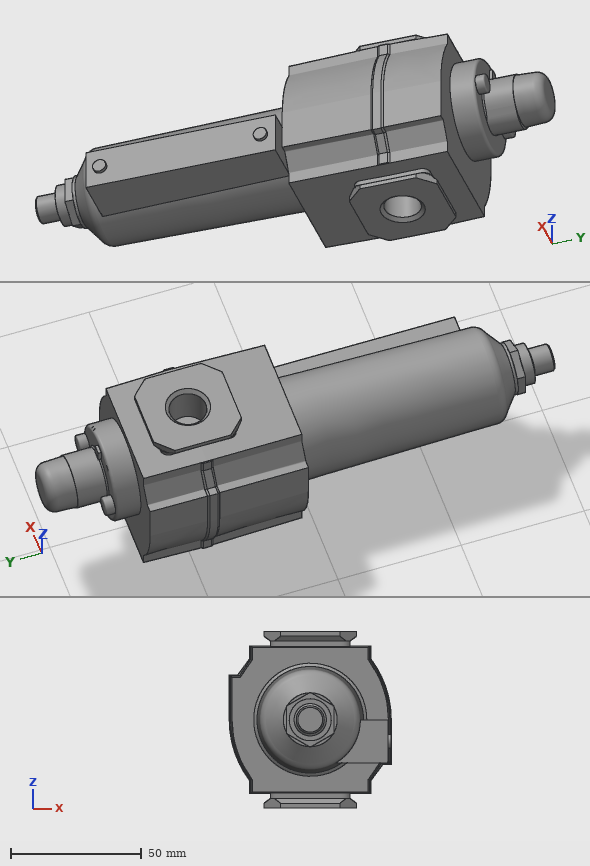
import cadquery as cq
import math


HOUSING_FRONT_LENGTH = 38.7
HOUSING_BACK_LENGTH = 25.7
HOUSING_HALF_HEIGHT = 28.4
HOUSING_HALF_WIDTH = 30.6
SHOULDER_HALF_WIDTH = 22.8
SHOULDER_Z = 23.5
SLOPE_END_X = 27.3
LEDGE_Z = 16.8
HOUSING_DRAFT = 0.9
RIDGE_RISE = 0.52
RIDGE_CROWN_HALF_WIDTH = 1.7
RIDGE_BASE_HALF_WIDTH = 2.5
RIDGE_END_INSET = 0.1

PORT_FACE_Z = 34.0
PORT_RIM_THICKNESS = 1.9
PORT_HALF_SIZE = 17.8
PORT_CORNER = 6.5
NECK_TOP_Z = 30.2
NECK_HALF_SIZE = 15.3
NECK_CORNER_RADIUS = 3.3
NECK_EMBED = 2.0
BORE_RADIUS = 7.2
BORE_CHAMFER = 1.5
BORE_DEPTH = 16.5

BONNET_Z = 6.2
FLANGE_RADIUS = 19.3
FLANGE_THICKNESS = 10.1
FLANGE_FILLET = 1.2
STEM_RADIUS = 10.5
STEM_LENGTH = 12.5
STEM_FLARE = 0.6
CAP_BASE_RADIUS = 10.25
CAP_TOP_RADIUS = 9.7
CAP_LENGTH = 11.4
CAP_FILLET = 4.0
LUG_RADIUS = 7.9
LUG_OFFSET = 4.0
HEAD_RADIUS = 3.7
HEAD_HEIGHT = 3.7
HEAD_FILLET = 0.6
HEAD_OFFSET = 15.3
TAB_WIDTH = 3.7
TAB_LENGTH = 4.3
TAB_HEIGHT = 1.2
TAB_OFFSET = 14.0

BOWL_NECK_RADIUS = 21.7
BOWL_NECK_LENGTH = 1.0
BOWL_TOP_RADIUS = 20.5
BOWL_END_RADIUS = 19.3
BOWL_END_Y = -120.3
BOWL_ROUND_RADIUS = 17.0
BOWL_ROUND_Y = -124.0
BOWL_ROUND_MID_RADIUS = 18.6
BOWL_ROUND_MID_Y = -122.4
BOWL_TIP_RADIUS = 10.4
BOWL_TIP_Y = -129.5

GAUGE_START_Y = -41.6
GAUGE_END_Y = -118.5
GAUGE_OUTER_X = 29.8
GAUGE_INNER_X = 8.3
GAUGE_HEIGHT = 16.5
STUD_RADIUS = 2.7
STUD_TIP_X = HOUSING_HALF_WIDTH + RIDGE_RISE
STUD_END_MARGIN = 5.8

WASHER_THICKNESS = 1.2
HEX_THICKNESS = 3.3
HEX_DIAMETER = 21.1
COLLAR_RADIUS = 8.0
COLLAR_LENGTH = 4.3
PIN_RADIUS = 5.4
PIN_LENGTH = 9.1
PIN_FLARE = 0.8
PIN_CHAMFER = 0.6


def disc(y_start, length, radius, x=0.0, z=0.0):
    """Cylinder along Y that starts at y_start and runs toward +Y."""
    axis_start = cq.Vector(x, y_start, z)
    return cq.Workplane(cq.Solid.makeCylinder(radius, length, axis_start, cq.Vector(0, 1, 0)))


def half_outline(rise, half_height):
    """Corners of the -X half of the housing outline, as (x, z), from the top to the flat side's end."""
    wall_x = SHOULDER_HALF_WIDTH + rise
    side_x = HOUSING_HALF_WIDTH + rise
    ledge_z = LEDGE_Z + rise
    return [
        (-wall_x, half_height),
        (-wall_x, SHOULDER_Z),
        (-SLOPE_END_X - rise, ledge_z),
        (-side_x, ledge_z),
        (-side_x, 0),
    ]


def housing_section(y, rise=0.0, half_height=HOUSING_HALF_HEIGHT):
    """Closed housing outline on the XZ plane at y; it repeats after half a turn about Y."""
    wall_x = SHOULDER_HALF_WIDTH + rise
    side_x = HOUSING_HALF_WIDTH + rise
    inset = side_x - wall_x
    arc_radius = (inset**2 + SHOULDER_Z**2) / (2 * inset)
    half_angle = math.asin(SHOULDER_Z / arc_radius) / 2
    arc_mid_x = side_x - arc_radius * (1 - math.cos(half_angle))
    arc_mid_z = arc_radius * math.sin(half_angle)

    section = cq.Workplane("XZ", origin=(0, y, 0)).moveTo(wall_x, half_height)
    for turn in (1, -1):
        for x, z in half_outline(rise, half_height):
            section = section.lineTo(turn * x, turn * z)
        section = section.threePointArc(
            (-turn * arc_mid_x, -turn * arc_mid_z), (-turn * wall_x, -turn * SHOULDER_Z)
        )
        if turn == 1:
            section = section.lineTo(-wall_x, -half_height)
    return section.close()


def make_ridge():
    """Ridge around the parting plane: a flat crown between two sloped flanks."""
    half_height = HOUSING_HALF_HEIGHT - RIDGE_END_INSET
    crown = housing_section(RIDGE_CROWN_HALF_WIDTH, RIDGE_RISE, half_height)
    ridge = crown.extrude(2 * RIDGE_CROWN_HALF_WIDTH)
    for side in (1, -1):
        crown_wire = housing_section(side * RIDGE_CROWN_HALF_WIDTH, RIDGE_RISE, half_height)
        base_wire = housing_section(side * RIDGE_BASE_HALF_WIDTH, 0.0, half_height)
        wires = [crown_wire.ctx.pendingWires[0], base_wire.ctx.pendingWires[0]]
        ridge = ridge.union(cq.Workplane(cq.Solid.makeLoft(wires, ruled=True)))
    return ridge


def square(half_size, z):
    """Square outline at height z, centred on the port axis."""
    return cq.Workplane("XY", origin=(0, 0, z)).rect(2 * half_size, 2 * half_size)


def make_port():
    """Upper port: a round-cornered neck under a flared rim whose corners are cut straight down."""
    rim_bottom_z = PORT_FACE_Z - PORT_RIM_THICKNESS
    neck_bottom_z = HOUSING_HALF_HEIGHT - NECK_EMBED
    neck = square(NECK_HALF_SIZE, neck_bottom_z).extrude(NECK_TOP_Z - neck_bottom_z)
    neck = neck.edges("|Z").fillet(NECK_CORNER_RADIUS)
    flare = (
        square(NECK_HALF_SIZE, NECK_TOP_Z)
        .workplane(offset=rim_bottom_z - NECK_TOP_Z)
        .rect(2 * PORT_HALF_SIZE, 2 * PORT_HALF_SIZE)
        .loft(ruled=True)
    )
    rim = square(PORT_HALF_SIZE, rim_bottom_z).extrude(PORT_RIM_THICKNESS)
    octagon = square(PORT_HALF_SIZE, NECK_TOP_Z).extrude(PORT_FACE_Z - NECK_TOP_Z)
    octagon = octagon.edges("|Z").chamfer(PORT_CORNER)
    return neck.union(flare.union(rim).intersect(octagon))


def make_port_bore():
    """Blind bore of the upper port, with a chamfered mouth."""
    profile = [
        (0, PORT_FACE_Z),
        (BORE_RADIUS + BORE_CHAMFER, PORT_FACE_Z),
        (BORE_RADIUS, PORT_FACE_Z - BORE_CHAMFER),
        (BORE_RADIUS, PORT_FACE_Z - BORE_DEPTH),
        (0, PORT_FACE_Z - BORE_DEPTH),
    ]
    return cq.Workplane("XZ").polyline(profile).close().revolve(360, (0, 0), (0, 1))


def make_housing():
    """Drafted housing with its parting ridge and two opposite ports."""
    housing = housing_section(0).extrude(HOUSING_FRONT_LENGTH, taper=HOUSING_DRAFT)
    housing = housing.union(housing_section(0).extrude(-HOUSING_BACK_LENGTH, taper=HOUSING_DRAFT))
    housing = housing.union(make_ridge())
    for turn in (0, 180):
        housing = housing.union(make_port().rotate((0, 0, 0), (0, 1, 0), turn))
    for turn in (0, 180):
        housing = housing.cut(make_port_bore().rotate((0, 0, 0), (0, 1, 0), turn))
    return housing


def make_lug(start_y):
    """Rounded lug under the stem, with flat flanks that are tangent to both the stem and the lug."""
    flank_angle = math.asin((STEM_RADIUS - LUG_RADIUS) / LUG_OFFSET)
    across = math.cos(flank_angle)
    down = math.sin(flank_angle)
    stem_x = STEM_RADIUS * across
    stem_z = -STEM_RADIUS * down
    lug_x = LUG_RADIUS * across
    lug_z = -LUG_OFFSET - LUG_RADIUS * down
    lug = (
        cq.Workplane("XZ", origin=(0, start_y, BONNET_Z))
        .polyline([(0, 0), (stem_x, stem_z), (lug_x, lug_z)])
        .threePointArc((0, -LUG_OFFSET - LUG_RADIUS), (-lug_x, lug_z))
        .lineTo(-stem_x, stem_z)
        .close()
    )
    return lug.extrude(-STEM_LENGTH)


def make_bonnet():
    """Flange with stem and domed cap, two round heads, an index tab and a lug under the stem."""
    base_y = HOUSING_BACK_LENGTH
    top_y = base_y + FLANGE_THICKNESS
    cap_y = top_y + STEM_LENGTH

    flange = disc(base_y, FLANGE_THICKNESS, FLANGE_RADIUS, z=BONNET_Z)
    bonnet = flange.faces(">Y").edges().fillet(FLANGE_FILLET)
    stem_profile = [
        (0, top_y),
        (STEM_RADIUS + STEM_FLARE, top_y),
        (STEM_RADIUS, top_y + STEM_FLARE),
        (STEM_RADIUS, cap_y),
        (CAP_BASE_RADIUS, cap_y),
        (CAP_TOP_RADIUS, cap_y + CAP_LENGTH),
        (0, cap_y + CAP_LENGTH),
    ]
    stem = (
        cq.Workplane("XY", origin=(0, 0, BONNET_Z))
        .polyline(stem_profile)
        .close()
        .revolve(360, (0, 0), (0, 1))
        .faces(">Y")
        .edges()
        .fillet(CAP_FILLET)
    )
    bonnet = bonnet.union(stem)

    for side in (-1, 1):
        head = disc(top_y, HEAD_HEIGHT, HEAD_RADIUS, side * HEAD_OFFSET, BONNET_Z)
        bonnet = bonnet.union(head.faces(">Y").edges().fillet(HEAD_FILLET))

    tab = cq.Workplane("XY").box(TAB_WIDTH, TAB_HEIGHT, TAB_LENGTH, centered=(True, False, True))
    bonnet = bonnet.union(make_lug(top_y))
    return bonnet.union(tab.translate((0, top_y, BONNET_Z + TAB_OFFSET)))


def make_bowl():
    """Tapered bowl with a rounded edge and a conical tip."""
    top_y = -HOUSING_FRONT_LENGTH
    return (
        cq.Workplane("XY")
        .moveTo(0, top_y)
        .lineTo(BOWL_NECK_RADIUS, top_y)
        .lineTo(BOWL_TOP_RADIUS, top_y - BOWL_NECK_LENGTH)
        .lineTo(BOWL_END_RADIUS, BOWL_END_Y)
        .threePointArc((BOWL_ROUND_MID_RADIUS, BOWL_ROUND_MID_Y), (BOWL_ROUND_RADIUS, BOWL_ROUND_Y))
        .lineTo(BOWL_TIP_RADIUS, BOWL_TIP_Y)
        .lineTo(0, BOWL_TIP_Y)
        .close()
        .revolve(360, (0, 0), (0, 1))
    )


def make_gauge(bowl):
    """Block along the bowl, fitted to the bowl's surface, with two studs on its outer side."""
    width = GAUGE_OUTER_X - GAUGE_INNER_X
    length = GAUGE_START_Y - GAUGE_END_Y
    block = cq.Workplane("XY").box(width, length, GAUGE_HEIGHT, centered=False)
    gauge = block.translate((GAUGE_INNER_X, GAUGE_END_Y, -GAUGE_HEIGHT)).cut(bowl)
    for stud_y in (GAUGE_START_Y - STUD_END_MARGIN, GAUGE_END_Y + STUD_END_MARGIN):
        stud = cq.Solid.makeCylinder(
            STUD_RADIUS,
            STUD_TIP_X - GAUGE_OUTER_X,
            cq.Vector(GAUGE_OUTER_X, stud_y, -GAUGE_HEIGHT / 2),
            cq.Vector(1, 0, 0),
        )
        gauge = gauge.union(cq.Workplane(stud))
    return gauge


def make_drain():
    """Drain valve at the bowl's tip: washer, hexagon, collar and pin."""
    hex_y = BOWL_TIP_Y - WASHER_THICKNESS
    collar_y = hex_y - HEX_THICKNESS
    pin_y = collar_y - COLLAR_LENGTH
    pin_end_y = pin_y - PIN_LENGTH

    washer = disc(hex_y, WASHER_THICKNESS, BOWL_TIP_RADIUS)
    hexagon = (
        cq.Workplane("XZ", origin=(0, hex_y, 0))
        .transformed(rotate=(0, 0, 90))
        .polygon(6, HEX_DIAMETER)
        .extrude(HEX_THICKNESS)
    )
    collar = disc(pin_y, COLLAR_LENGTH, COLLAR_RADIUS)
    pin_profile = [
        (0, pin_y),
        (PIN_RADIUS + PIN_FLARE, pin_y),
        (PIN_RADIUS, pin_y - PIN_FLARE),
        (PIN_RADIUS, pin_end_y + PIN_CHAMFER),
        (PIN_RADIUS - PIN_CHAMFER, pin_end_y),
        (0, pin_end_y),
    ]
    pin = cq.Workplane("XY").polyline(pin_profile).close().revolve(360, (0, 0), (0, 1))
    return washer.union(hexagon).union(collar).union(pin)


housing = make_housing()
bonnet = make_bonnet()
bowl = make_bowl()
gauge = make_gauge(bowl)
drain = make_drain()

result = cq.Compound.makeCompound(
    [housing.val(), bonnet.val(), bowl.val(), gauge.val(), drain.val()]
)